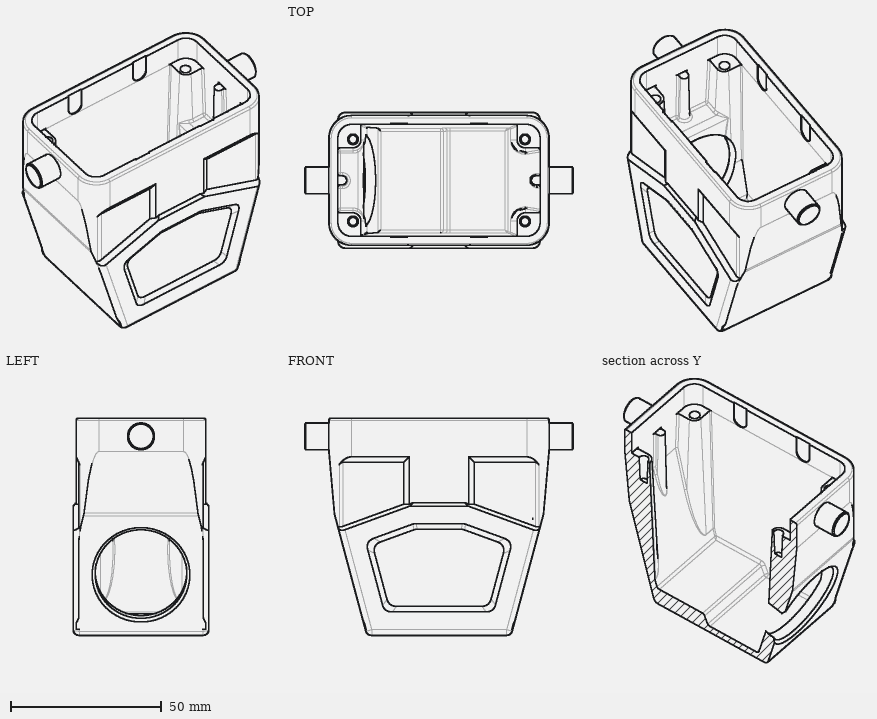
import cadquery as cq
import math

HEIGHT = 72.0
BODY_LENGTH = 73.0
BODY_WIDTH = 43.0
BODY_CORNER_RADIUS = 7.5
RIM_FILLET = 0.7

TAPER_TOP_Z = 61.0
FOLD_Z = 40.2
FOLD_RADIUS = 6.0
BASE_HALF_LENGTH = 23.9
SLOPE_ANGLE = math.radians(15)
SLOPE = math.tan(SLOPE_ANGLE)

BLOCK_WIDTH = 45.0
BLOCK_EDGE_FILLET = 2.0
BLOCK_TOP_Z = 42.9
BLOCK_FLAT_HALF = 9.6
ROOF_SLOPE = math.tan(math.radians(20))
BEVEL_ROOT_Y = 20.2
ROOF_BEVEL_RISE = 1.7
FLAT_BEVEL_RISE = 2.6

RECESS_FLOOR_Y = 20.65
RECESS_TOP_Z = 59.2
RECESS_INNER_X = 9.9
RECESS_BEVEL = 1.8
RECESS_EDGE_RADIUS = 2.3

PANEL_DEPTH = 1.2
PANEL_BEVEL = 1.9
PANEL_BOTTOM_Z = 7.8
PANEL_TOP_Z = 37.1
PANEL_FLAT_HALF = 8.2
PANEL_SIDE_INSET = 7.9
PANEL_CORNER_RADIUS = 6.0

PEG_DIAMETER = 8.9
PEG_Z = 66.0
PEG_TIP_X = 44.5
PEG_CHAMFER = 0.4

ENTRY_DIAMETER = 30.4
ENTRY_CHAMFER = 1.0
ENTRY_Z = 20.1
ENTRY_REACH = 12.0

RIM_WALL = 3.0
MOUTH_LENGTH = BODY_LENGTH - 2 * RIM_WALL
MOUTH_WIDTH = 37.1
MOUTH_CORNER_RADIUS = BODY_CORNER_RADIUS - RIM_WALL
SHELF_Z = 62.7
FLOOR_Z = 3.0
FLOOR_WIDTH = 34.6
RAISED_FLOOR_Z = 7.2
STEP_FOOT_X = 1.1
STEP_HEAD_X = 2.9
ENTRY_WALL = 4.66
FAR_WALL = 3.2
FLOOR_FILLET = 1.0

LEDGE_Z = 42.0
LEDGE_X = -25.0
LEDGE_FILLET = 1.9
LEDGE_FOOT_FILLET = 0.8

POST_X = 25.9
POST_Y = 10.75
POST_CORNER_RADIUS = 2.7
POST_TAPER = 2.5
POST_FOOT_FILLET = 0.6
POST_SIDE_FILLET = 0.4
SCREW_X = 28.5
SCREW_Y = 13.6
SCREW_MOUTH_DIAMETER = 3.5
SCREW_END_DIAMETER = 2.7
SCREW_DEPTH = 10.0

RIB_RADIUS = 1.5
RIB_CENTRE_X = 32.1
RIB_TAPER = 1.0
GROOVE_X = 13.3
GROOVE_WIDTH = 5.4
GROOVE_DEPTH = 0.3

MARGIN = 5.0
TOLERANCE = 0.01
MIN_STEEP_EDGE = 3.0


def slope_x(z):
    """Half length of the outer lower slope at height z."""
    return BASE_HALF_LENGTH + SLOPE * z


def prism_xz(points, half_width):
    """Prism of an XZ outline, symmetric about the XZ plane."""
    return cq.Workplane("XZ").polyline(points).close().extrude(half_width, both=True)


def mirrored(points):
    """Close a right-hand half outline with its mirror image in X."""
    return points + [(-x, z) for x, z in reversed(points)]


def both_sides(solid):
    """The solid together with its mirror image in the XZ plane."""
    return solid.union(solid.mirror("XZ"))


def roof_outline(flat_z, eave_shift):
    """Block outline with its flat at flat_z and its roof raised by eave_shift."""
    ridge_z = BLOCK_TOP_Z + ROOF_SLOPE * BLOCK_FLAT_HALF + eave_shift
    flat_half = (ridge_z - flat_z) / ROOF_SLOPE
    eave_z = (ridge_z - ROOF_SLOPE * BASE_HALF_LENGTH) / (1 + ROOF_SLOPE * SLOPE)
    return mirrored([(BASE_HALF_LENGTH, 0), (slope_x(eave_z), eave_z), (flat_half, flat_z)])


def make_body():
    end_profile = mirrored([
        (BASE_HALF_LENGTH, 0),
        (slope_x(FOLD_Z), FOLD_Z),
        (BODY_LENGTH / 2, TAPER_TOP_Z),
        (BODY_LENGTH / 2, HEIGHT),
    ])
    column = (
        cq.Workplane("XY")
        .rect(BODY_LENGTH, BODY_WIDTH)
        .extrude(HEIGHT)
        .edges("|Z")
        .fillet(BODY_CORNER_RADIUS)
        .faces(">Z")
        .edges()
        .fillet(RIM_FILLET)
    )
    ends = prism_xz(end_profile, BODY_WIDTH)
    folds = ends.edges("|Y").filter(lambda e: abs(e.Center().z - FOLD_Z) < TOLERANCE)
    column = column.intersect(ends.newObject(folds.vals()).fillet(FOLD_RADIUS))
    return column.cut(
        cq.Workplane("XY").box(BODY_LENGTH, BODY_WIDTH, BLOCK_EDGE_FILLET * 2)
    )


def make_block():
    inner = roof_outline(BLOCK_TOP_Z + FLAT_BEVEL_RISE, ROOF_BEVEL_RISE)
    outer = roof_outline(BLOCK_TOP_Z, 0)
    skin = (
        cq.Workplane("XZ", origin=(0, -BEVEL_ROOT_Y, 0))
        .polyline(inner)
        .close()
        .workplane(offset=BLOCK_WIDTH / 2 - BEVEL_ROOT_Y)
        .polyline(outer)
        .close()
        .loft(ruled=True)
    )
    core = prism_xz(outer, BEVEL_ROOT_Y)
    block = core.union(both_sides(skin)).clean()
    rims = block.faces("<Y or >Y").edges().filter(lambda e: e.Center().z < FOLD_Z * 0.6)
    bottom_ends = block.edges("|Y").edges("<Z")
    return block.newObject(rims.vals() + bottom_ends.vals()).fillet(BLOCK_EDGE_FILLET)


def make_corner_recess():
    """Cutter for one recess: bevelled on top and towards the middle."""
    depth = BODY_WIDTH / 2 - RECESS_FLOOR_Y
    bottom_z = BLOCK_EDGE_FILLET * 2
    length = BODY_LENGTH / 2 + MARGIN - RECESS_INNER_X
    height = RECESS_TOP_Z - bottom_z
    return (
        cq.Workplane("XZ", origin=(0, -BODY_WIDTH / 2, 0))
        .center(RECESS_INNER_X + length / 2, bottom_z + height / 2)
        .rect(length, height)
        .extrude(-depth, taper=math.degrees(math.atan(RECESS_BEVEL / depth)))
    )


def make_panel():
    """Cutter for the framed panel on the -Y side."""
    ridge_z = PANEL_TOP_Z + ROOF_SLOPE * PANEL_FLAT_HALF
    side_base = BASE_HALF_LENGTH - PANEL_SIDE_INSET
    eave_z = (ridge_z - ROOF_SLOPE * side_base) / (1 + ROOF_SLOPE * SLOPE)
    outline = mirrored([
        (side_base + SLOPE * PANEL_BOTTOM_Z, PANEL_BOTTOM_Z),
        (side_base + SLOPE * eave_z, eave_z),
        (PANEL_FLAT_HALF, PANEL_TOP_Z),
    ])
    taper = math.degrees(math.atan(PANEL_BEVEL / PANEL_DEPTH))
    panel = (
        cq.Workplane("XZ", origin=(0, -BLOCK_WIDTH / 2, 0))
        .polyline(outline)
        .close()
        .extrude(-PANEL_DEPTH, taper=taper)
    )
    corners = panel.edges().filter(lambda e: e.BoundingBox().ylen > PANEL_DEPTH / 2)
    return corners.fillet(PANEL_CORNER_RADIUS)


def make_pegs():
    return (
        cq.Workplane("YZ", origin=(-PEG_TIP_X, 0, 0))
        .center(0, PEG_Z)
        .circle(PEG_DIAMETER / 2)
        .extrude(2 * PEG_TIP_X)
        .faces("<X or >X")
        .chamfer(PEG_CHAMFER)
    )


def make_entry():
    """Countersunk bore along the inward normal of the -X slope."""
    inward = cq.Vector(math.cos(SLOPE_ANGLE), 0, math.sin(SLOPE_ANGLE))
    centre = cq.Vector(-slope_x(ENTRY_Z), 0, ENTRY_Z)
    radius = ENTRY_DIAMETER / 2
    bore = cq.Solid.makeCylinder(radius, ENTRY_REACH, centre, inward)
    sink = cq.Solid.makeCone(radius + ENTRY_CHAMFER, radius, ENTRY_CHAMFER, centre, inward)
    return cq.Workplane(bore).union(cq.Workplane(sink))


def make_posts():
    depth = SHELF_Z - RAISED_FLOOR_Z
    post_length = BODY_LENGTH / 2 + MARGIN - POST_X
    post_width = BODY_WIDTH / 2 + MARGIN - POST_Y
    posts = cq.Workplane("XY")
    for side_x in (-1, 1):
        for side_y in (-1, 1):
            post = (
                cq.Workplane("XY", origin=(0, 0, SHELF_Z))
                .center(side_x * (POST_X + post_length / 2), side_y * (POST_Y + post_width / 2))
                .sketch()
                .rect(post_length, post_width)
                .vertices()
                .fillet(POST_CORNER_RADIUS)
                .finalize()
                .extrude(-depth, taper=-POST_TAPER)
            )
            posts = posts.add(post)
    return posts.combine()


def make_ribs():
    depth = SHELF_Z - RAISED_FLOOR_Z
    ribs = cq.Workplane("XY")
    for side in (-1, 1):
        rib = (
            cq.Workplane("XY", origin=(0, 0, SHELF_Z))
            .center(side * (RIB_CENTRE_X + MARGIN), 0)
            .slot2D(2 * (MARGIN + RIB_RADIUS), 2 * RIB_RADIUS)
            .extrude(-depth, taper=-RIB_TAPER)
        )
        ribs = ribs.add(rib)
    return ribs.combine()


def make_ledge():
    back_x = -BODY_LENGTH / 2
    return (
        cq.Workplane("XY")
        .box(LEDGE_X - back_x, BODY_WIDTH, LEDGE_Z, centered=(False, True, False))
        .translate((back_x, 0, 0))
        .edges(">X and >Z")
        .fillet(LEDGE_FILLET)
    )


def make_grooves():
    """Round-bottomed grooves, open at the rim, just into both side walls."""
    radius = GROOVE_WIDTH / 2
    grooves = cq.Workplane("XY")
    for x in (-GROOVE_X, GROOVE_X):
        groove = (
            cq.Workplane("XZ")
            .moveTo(x - radius, HEIGHT)
            .lineTo(x - radius, SHELF_Z + radius)
            .threePointArc((x, SHELF_Z), (x + radius, SHELF_Z + radius))
            .lineTo(x + radius, HEIGHT)
            .close()
            .extrude(MOUTH_WIDTH / 2 + GROOVE_DEPTH, both=True)
        )
        grooves = grooves.add(groove)
    return grooves.combine()


def make_envelope():
    """Empty cavity: stepped floor, sloping end walls and drafted side walls."""
    mouth_half = MOUTH_LENGTH / 2
    far_top_z = (mouth_half + FAR_WALL - BASE_HALF_LENGTH) / SLOPE
    profile = [
        (ENTRY_WALL - slope_x(FLOOR_Z), FLOOR_Z),
        (STEP_FOOT_X, FLOOR_Z),
        (STEP_HEAD_X, RAISED_FLOOR_Z),
        (slope_x(RAISED_FLOOR_Z) - FAR_WALL, RAISED_FLOOR_Z),
        (mouth_half, far_top_z),
        (mouth_half, HEIGHT),
        (-mouth_half, HEIGHT),
        (-mouth_half, LEDGE_Z),
        (ENTRY_WALL - slope_x(LEDGE_Z), LEDGE_Z),
    ]
    section = [
        (FLOOR_WIDTH / 2, FLOOR_Z),
        (MOUTH_WIDTH / 2, SHELF_Z),
        (MOUTH_WIDTH / 2, HEIGHT),
    ]
    drafted = cq.Workplane("YZ").polyline(mirrored(section)).close().extrude(BODY_LENGTH, both=True)
    envelope = prism_xz(profile, BODY_WIDTH).intersect(drafted)
    floor_edges = envelope.edges().filter(lambda e: e.BoundingBox().zmax < FOLD_Z / 4)
    envelope = envelope.newObject(floor_edges.vals()).fillet(FLOOR_FILLET)
    rounded = (
        cq.Workplane("XY")
        .rect(MOUTH_LENGTH, MOUTH_WIDTH)
        .extrude(HEIGHT)
        .edges("|Z")
        .fillet(MOUTH_CORNER_RADIUS)
    )
    return envelope.intersect(rounded)


def lies_on_ledge(edge):
    """Edge at the foot of the walls, posts and rib standing on the ledge."""
    flat = edge.BoundingBox().zlen < TOLERANCE
    behind_nose = edge.Center().x < LEDGE_X - LEDGE_FILLET - TOLERANCE
    return flat and behind_nose and abs(edge.Center().z - LEDGE_Z) < TOLERANCE


def lies_on_end_wall(edge):
    """Steep edge where a post or rib meets an end wall."""
    centre = edge.Center()
    steep = edge.BoundingBox().zlen > MIN_STEEP_EDGE
    upright = abs(abs(centre.x) - MOUTH_LENGTH / 2) < TOLERANCE
    sloped = abs(centre.x - slope_x(centre.z) + FAR_WALL) < TOLERANCE
    return steep and abs(centre.y) < SCREW_Y and (upright or sloped)


def lies_on_side_wall(edge):
    """Steep edge where a post meets a side wall."""
    box = edge.BoundingBox()
    reaches_post_top = abs(box.zmax - SHELF_Z) < TOLERANCE
    return box.zlen > MIN_STEEP_EDGE and reaches_post_top and abs(edge.Center().y) > FLOOR_WIDTH / 2


def fillet_where(solid, picks_edge, radius):
    return solid.newObject(solid.edges().filter(picks_edge).vals()).fillet(radius)


def make_cavity():
    cavity = make_envelope().cut(make_ledge()).cut(make_posts()).cut(make_ribs())
    cavity = fillet_where(cavity, lies_on_end_wall, POST_FOOT_FILLET)
    cavity = fillet_where(cavity, lies_on_ledge, LEDGE_FOOT_FILLET)
    cavity = fillet_where(cavity, lies_on_side_wall, POST_SIDE_FILLET)
    return cavity.union(make_grooves())


def make_screw_holes():
    hole = cq.Solid.makeCone(
        SCREW_MOUTH_DIAMETER / 2,
        SCREW_END_DIAMETER / 2,
        SCREW_DEPTH,
        cq.Vector(0, 0, SHELF_Z),
        cq.Vector(0, 0, -1),
    )
    spots = [(x, y) for x in (-SCREW_X, SCREW_X) for y in (-SCREW_Y, SCREW_Y)]
    return cq.Workplane("XY").pushPoints(spots).eachpoint(lambda loc: hole.moved(loc), combine=False)


def build():
    recess = make_corner_recess()
    recesses = both_sides(recess.union(recess.mirror("YZ")))
    shell = make_body().cut(recesses)
    edges = shell.edges("|Z").filter(
        lambda e: e.Center().x ** 2 > BASE_HALF_LENGTH ** 2
        and abs(abs(e.Center().y) - RECESS_FLOOR_Y) < TOLERANCE
    )
    shell = shell.newObject(edges.vals()).fillet(RECESS_EDGE_RADIUS)
    shell = shell.union(make_block()).union(make_pegs())
    shell = shell.cut(both_sides(make_panel()))
    shell = shell.cut(make_cavity()).cut(make_entry())
    for hole in make_screw_holes().vals():
        shell = shell.cut(cq.Workplane(hole))
    return shell


result = build()